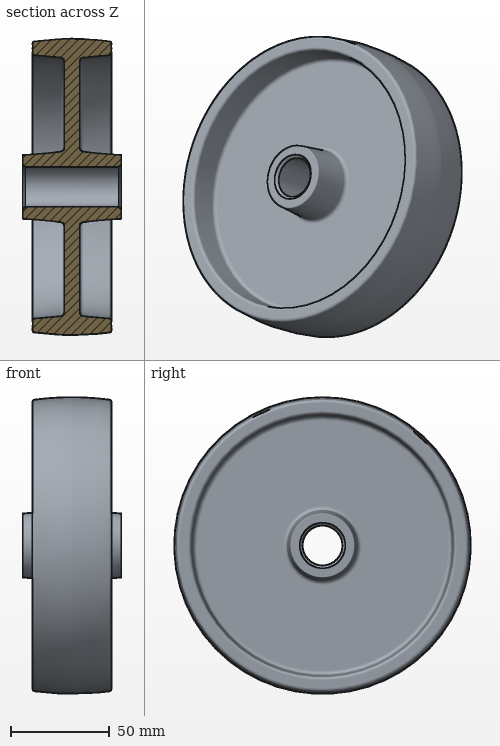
import cadquery as cq
import math

HUB_LENGTH = 50.0
RIM_WIDTH = 40.0
WEB_THICKNESS = 8.0

TREAD_RADIUS = 75.0
CROWN_RADIUS = 140.0
RIM_MOUTH_RADIUS = 66.6
HUB_END_RADIUS = 16.2
BORE_RADIUS = 10.0
DRAFT_ANGLE = 5.0

TREAD_FILLET = 1.5
MOUTH_FILLET = 1.5
ROOT_FILLET = 2.0
HUB_END_FILLET = 0.4
BORE_CHAMFER = 1.5

half_hub = HUB_LENGTH / 2
half_rim = RIM_WIDTH / 2
half_web = WEB_THICKNESS / 2
draft_slope = math.tan(math.radians(DRAFT_ANGLE))

hub_root_radius = HUB_END_RADIUS + (half_hub - half_web) * draft_slope
rim_root_radius = RIM_MOUTH_RADIUS - (half_rim - half_web) * draft_slope
crown_center = TREAD_RADIUS - CROWN_RADIUS
tread_edge_radius = crown_center + math.sqrt(CROWN_RADIUS**2 - half_rim**2)


def wheel_blank():
    """Revolve the half section; X runs along the axle and Z is the radius."""
    return (
        cq.Workplane("XZ")
        .moveTo(-half_hub, BORE_RADIUS)
        .lineTo(-half_hub, HUB_END_RADIUS)
        .lineTo(-half_web, hub_root_radius)
        .lineTo(-half_web, rim_root_radius)
        .lineTo(-half_rim, RIM_MOUTH_RADIUS)
        .lineTo(-half_rim, tread_edge_radius)
        .radiusArc((0, TREAD_RADIUS), CROWN_RADIUS)
        .radiusArc((half_rim, tread_edge_radius), CROWN_RADIUS)
        .lineTo(half_rim, RIM_MOUTH_RADIUS)
        .lineTo(half_web, rim_root_radius)
        .lineTo(half_web, hub_root_radius)
        .lineTo(half_hub, HUB_END_RADIUS)
        .lineTo(half_hub, BORE_RADIUS)
        .close()
        .revolve(360, (0, 0, 0), (1, 0, 0))
    )


def circular_edges(body, axial_distance, radius):
    """Select the matching pair of circles at plus and minus the given distance along X."""
    tolerance = 0.01

    def matches(edge):
        if edge.geomType() != "CIRCLE":
            return False
        on_plane = abs(abs(edge.arcCenter().x) - axial_distance) < tolerance
        return on_plane and abs(edge.radius() - radius) < tolerance

    return body.edges().filter(matches)


def round_edges(body):
    """Round the circular edges of the rim, the web roots and the hub ends."""
    rounded_circles = [
        (half_rim, tread_edge_radius, TREAD_FILLET),
        (half_rim, RIM_MOUTH_RADIUS, MOUTH_FILLET),
        (half_web, rim_root_radius, ROOT_FILLET),
        (half_web, hub_root_radius, ROOT_FILLET),
        (half_hub, HUB_END_RADIUS, HUB_END_FILLET),
    ]
    for axial_distance, radius, fillet_radius in rounded_circles:
        body = circular_edges(body, axial_distance, radius).fillet(fillet_radius)
    return body


def chamfer_bore(body):
    """Chamfer both mouths of the bore."""
    return circular_edges(body, half_hub, BORE_RADIUS).chamfer(BORE_CHAMFER)


result = chamfer_bore(round_edges(wheel_blank()))